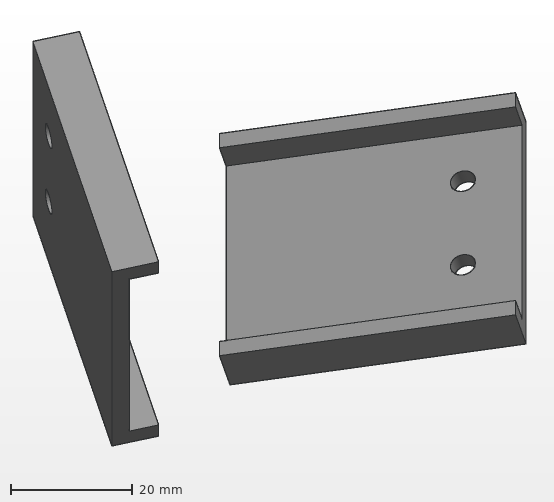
import cadquery as cq

length = 50.0
depth = 8.0
height = 46.5
web_thickness = 3.0
flange_thickness = 3.0

hole_diameter = 4.2
hole_end_offset = 10.0
lower_hole_height = 16.0
hole_spacing = 17.5


def channel():
    """C-shaped channel with its web on the -Y side and flanges pointing to +Y."""
    block = cq.Workplane("XY").box(length, depth, height, centered=False)
    recess = (
        cq.Workplane("XY")
        .box(length, depth - web_thickness, height - 2 * flange_thickness, centered=False)
        .translate((0, web_thickness, flange_thickness))
    )
    return block.cut(recess)


def web_hole(hole_height):
    """Cylinder that pierces the web along Y at the given height."""
    return cq.Workplane(
        cq.Solid.makeCylinder(
            hole_diameter / 2,
            web_thickness,
            cq.Vector(hole_end_offset, 0, hole_height),
            cq.Vector(0, 1, 0),
        )
    )


result = channel()
for hole_height in (lower_hole_height, lower_hole_height + hole_spacing):
    result = result.cut(web_hole(hole_height))